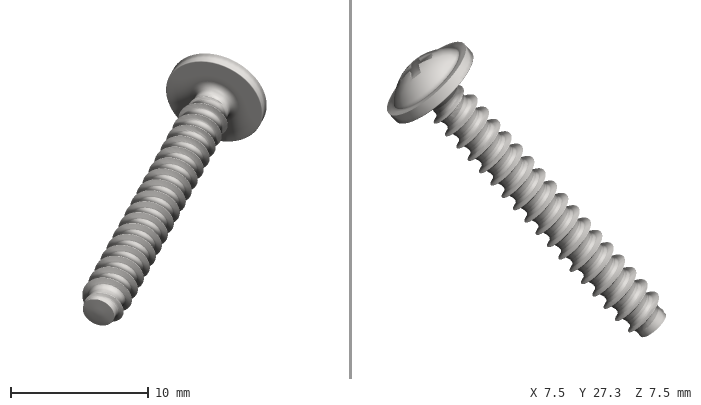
import cadquery as cq
import math


flange_radius = 3.75
flange_thickness = 0.9
flange_edge_fillet = 0.08
dome_radius = 3.1
dome_height = 1.46
slot_width = 0.88
slot_floor_y = 2.06

shank_length = 25.0
neck_radius = 1.38
neck_fillet = 0.5
neck_length = 0.8
neck_taper_length = 0.3
core_radius = 1.22
tip_cone_height = 0.08
tip_rim_y = tip_cone_height - shank_length

pitch = 1.29
thread_turns = 19
thread_start_y = -0.49
crest_radius = 1.8
crest_width = 0.03
flank_foot_radius = 1.36
flank_foot_offset = 0.2
land_foot_radius = 1.2
upper_land_offset = 0.46
lower_land_offset = 0.7
root_radius = 0.9
run_in_turns = 1.25
run_out_turns = 1.0
tip_clearance = 0.06
sink_turns = 1
sink_depth = 0.3
points_per_turn = 12


def make_head():
    """Flange with a domed top, before the recess is cut."""
    flange_top = flange_thickness
    sphere_radius = (dome_radius**2 + dome_height**2) / (2 * dome_height)
    sphere_center_y = flange_top + dome_height - sphere_radius
    mid_angle = 0.5 * math.asin(dome_radius / sphere_radius)
    dome_mid = (
        sphere_radius * math.sin(mid_angle),
        sphere_center_y + sphere_radius * math.cos(mid_angle),
    )
    return (
        cq.Workplane("XY")
        .moveTo(0, 0)
        .lineTo(flange_radius - flange_edge_fillet, 0)
        .radiusArc((flange_radius, flange_edge_fillet), -flange_edge_fillet)
        .lineTo(flange_radius, flange_top)
        .lineTo(dome_radius, flange_top)
        .threePointArc(dome_mid, (0, flange_top + dome_height))
        .close()
        .revolve(360, (0, 0, 0), (0, 1, 0))
    )


def make_recess():
    """Two crossing slots with a flat floor that run out through the dome."""
    length = 2 * flange_radius
    slot = cq.Workplane("XY").box(length, dome_height, slot_width)
    cross = slot.union(slot.rotate((0, 0, 0), (0, 1, 0), 90))
    return cross.translate((0, slot_floor_y + dome_height / 2, 0))


def make_shank():
    """Neck filleted into the flange, core and shallow conical tip."""
    overlap_y = flange_thickness / 2
    taper_end_y = -neck_length - neck_taper_length
    return (
        cq.Workplane("XY")
        .moveTo(0, overlap_y)
        .lineTo(neck_radius + neck_fillet, overlap_y)
        .lineTo(neck_radius + neck_fillet, 0)
        .radiusArc((neck_radius, -neck_fillet), -neck_fillet)
        .lineTo(neck_radius, -neck_length)
        .lineTo(core_radius, taper_end_y)
        .lineTo(core_radius, tip_rim_y)
        .lineTo(0, -shank_length)
        .close()
        .revolve(360, (0, 0, 0), (0, 1, 0))
    )


def end_blend(turn, start_length, end_length):
    """Share that rises from 0 at the thread start to 1 and falls back to 0 at the thread end."""
    return min(1.0, turn / start_length, (thread_turns - turn) / end_length)


def thread_helix(radius, axial_offset):
    """Helical edge of one profile corner.

    Towards both thread ends the crest comes down to the flank foot while the whole profile
    sinks into the core. The last land stops short of the rim of the tip.
    """
    base_radius = min(radius, flank_foot_radius)
    lowest_y = tip_rim_y + tip_clearance
    points = []
    for step in range(round(thread_turns * points_per_turn) + 1):
        turn = step / points_per_turn
        angle = 2 * math.pi * turn
        height_share = end_blend(turn, run_in_turns, run_out_turns)
        raised_radius = base_radius + (radius - base_radius) * height_share
        sink_share = end_blend(turn, sink_turns, sink_turns)
        local_radius = raised_radius - (1 - sink_share) * sink_depth
        x = local_radius * math.sin(angle)
        y = max(thread_start_y - pitch * turn + axial_offset, lowest_y)
        z = -local_radius * math.cos(angle)
        points.append(cq.Vector(x, y, z))
    return cq.Edge.makeSpline(points)


def make_thread():
    """Solid ridge bounded by ruled faces between the helices of its profile corners."""
    half_crest = crest_width / 2
    corners = [
        (root_radius, upper_land_offset),
        (land_foot_radius, upper_land_offset),
        (flank_foot_radius, flank_foot_offset),
        (crest_radius, half_crest),
        (crest_radius, -half_crest),
        (flank_foot_radius, -flank_foot_offset),
        (land_foot_radius, -lower_land_offset),
        (root_radius, -lower_land_offset),
    ]
    helices = [thread_helix(*corner) for corner in corners]
    next_helices = helices[1:] + helices[:1]
    faces = [cq.Face.makeRuledSurface(a, b) for a, b in zip(helices, next_helices)]
    for end in (0, 1):
        end_corners = [helix.positionAt(end) for helix in helices]
        faces.append(cq.Face.makeFromWires(cq.Wire.makePolygon(end_corners, close=True)))
    return cq.Workplane(cq.Solid.makeSolid(cq.Shell.makeShell(faces)))


head = make_head().cut(make_recess())
result = head.union(make_shank()).union(make_thread())